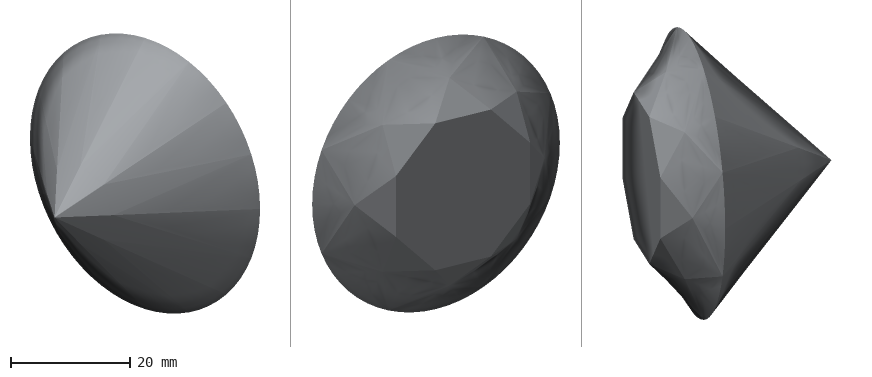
import cadquery as cq
import math

girdle_radius = 24.65
total_height = 32.75
crown_height = 8.43
pavilion_depth = total_height - crown_height

sectors = 8
sector_angle = 360.0 / sectors
half_sector = sector_angle / 2

table_apothem = 13.35
table_radius = table_apothem / math.cos(math.radians(half_sector))

crown_point_radius = table_apothem * math.sqrt(2)
crown_point_height = crown_height / 2

pavilion_point_radius = 7.1
pavilion_point_depth = 17.4


def polar_point(radius, angle, y):
    """Point at a radius and angle about the Y axis."""
    turn = math.radians(angle)
    return cq.Vector(radius * math.cos(turn), y, radius * math.sin(turn))


def girdle_point(angle):
    return polar_point(girdle_radius, angle, 0)


def table_corner(angle):
    return polar_point(table_radius, angle, crown_height)


def crown_point(angle):
    return polar_point(crown_point_radius, angle, crown_point_height)


def pavilion_point(angle):
    return polar_point(pavilion_point_radius, angle, -pavilion_point_depth)


def girdle_arc(start, end):
    """Stretch of the girdle circle between two angles."""
    middle = (start + end) / 2
    return cq.Edge.makeThreePointArc(girdle_point(start), girdle_point(middle), girdle_point(end))


def flat_facet(*corners):
    return cq.Face.makeFromWires(cq.Wire.makePolygon(corners, close=True))


def curved_facet(edges):
    """Smooth surface stretched over a closed loop of edges."""
    return cq.Face.makeNSidedSurface(edges, [])


def kite_facet(*corners):
    """Slightly warped four-sided facet with straight edges."""
    following = corners[1:] + corners[:1]
    return curved_facet([cq.Edge.makeLine(a, b) for a, b in zip(corners, following)])


def girdle_facet(point, arcs):
    """Facet joining a point to adjoining stretches of the girdle."""
    first = cq.Edge.makeLine(point, arcs[0].startPoint())
    last = cq.Edge.makeLine(arcs[-1].endPoint(), point)
    return curved_facet([first, *arcs, last])


def crown_sector(angle):
    """Star, upper girdle and kite facets of one crown sector."""
    before = angle - half_sector
    after = angle + half_sector
    point = crown_point(angle)
    arcs = [girdle_arc(before, angle), girdle_arc(angle, after)]
    star = flat_facet(point, table_corner(before), table_corner(after))
    upper_girdle = girdle_facet(point, arcs)
    next_point = crown_point(angle + sector_angle)
    kite = kite_facet(table_corner(after), point, girdle_point(after), next_point)
    return [star, upper_girdle, kite]


def pavilion_sector(angle):
    """The two lower girdle facets and the kite facet of one pavilion sector."""
    before = angle - half_sector
    after = angle + half_sector
    tip = cq.Vector(0, -pavilion_depth, 0)
    point = pavilion_point(angle)
    lower_girdle = [
        girdle_facet(point, [girdle_arc(before, angle)]),
        girdle_facet(point, [girdle_arc(angle, after)]),
    ]
    next_point = pavilion_point(angle + sector_angle)
    kite = kite_facet(tip, point, girdle_point(after), next_point)
    return [*lower_girdle, kite]


sector_angles = [index * sector_angle for index in range(sectors)]
facets = [flat_facet(*[table_corner(angle + half_sector) for angle in sector_angles])]
for sector in sector_angles:
    facets += crown_sector(sector)
    facets += pavilion_sector(sector)

gem = cq.Solid.makeSolid(cq.Shell.makeShell(facets))
result = cq.Workplane("XY").newObject([gem])